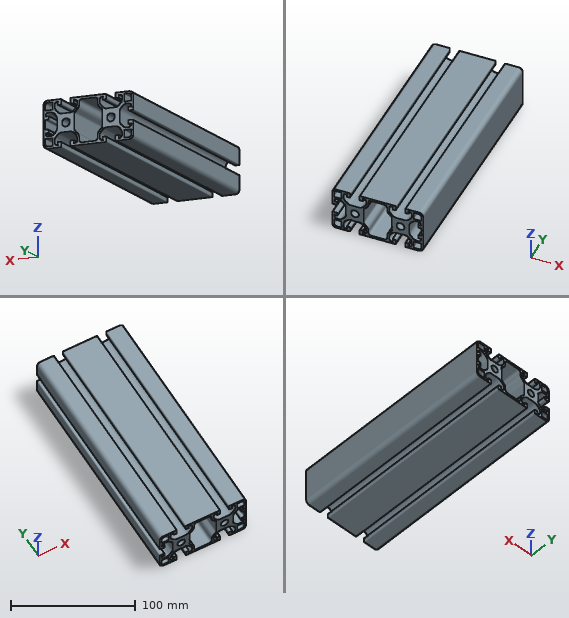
import cadquery as cq
import math

width = 80.0
length = 200.0
height = 40.0
corner_radius = 4.0

cell_half = height / 2
cell_center = width / 4

bore_diameter = 6.8

mouth_half = 4.0
lip_width = 3.0
lip_depth = 4.5
flange_thickness = 2.0
cavity_half = 10.0
core_half = 7.8
web_offset = 2.2
web_thickness = 1.8
lip_round = 1.0
undercut_round = 2.5
web_round = 5.0
cover_thickness = 1.5
cutter_overrun = 2.0

hollow_wall = 1.8
hollow_round = 0.5

chamber_core_half = 7.5
chamber_round = 2.5


def rounded_prism(corners):
    """Extrude a closed outline of (x, z, radius) corners along the full length."""
    tangents = []
    for index, (x, z, radius) in enumerate(corners):
        corner = cq.Vector(x, z)
        before = corners[index - 1]
        after = corners[(index + 1) % len(corners)]
        to_before = (cq.Vector(before[0], before[1]) - corner).normalized()
        to_after = (cq.Vector(after[0], after[1]) - corner).normalized()
        half_angle = to_before.getAngle(to_after) / 2
        reach = radius / math.tan(half_angle)
        bisector = (to_before + to_after).normalized()
        start = corner + to_before * reach
        middle = corner + bisector * (radius / math.sin(half_angle) - radius)
        end = corner + to_after * reach
        tangents.append((start, middle, end, radius))

    first = tangents[0][0]
    outline = cq.Workplane("XZ").moveTo(first.x, first.y)
    for index, (start, middle, end, radius) in enumerate(tangents):
        if index > 0:
            outline = outline.lineTo(start.x, start.y)
        if radius > 0:
            outline = outline.threePointArc((middle.x, middle.y), (end.x, end.y))
    return outline.close().extrude(length / 2, both=True)


def mirrored(half):
    """Complete an outline that is symmetric about x = 0."""
    return half + [(-x, z, radius) for x, z, radius in reversed(half)]


def groove(is_open):
    """T-groove void about a cell centre at the origin, with its mouth toward +Z."""
    if is_open:
        flare = mouth_half + cutter_overrun
        mouth = [
            (flare, cell_half + cutter_overrun, 0),
            (flare, cell_half, 0),
            (mouth_half, cell_half, lip_round),
        ]
    else:
        mouth = [(mouth_half, cell_half - cover_thickness, lip_round)]
    lip_tip = cell_half - lip_depth
    undercut = cell_half - flange_thickness
    cavity = [
        (mouth_half, lip_tip, lip_round),
        (mouth_half + lip_width, lip_tip, 0),
        (mouth_half + lip_width, undercut, 0),
        (cavity_half, undercut, undercut_round),
        (cavity_half, cavity_half + web_offset, web_round),
        (core_half - web_offset, core_half, web_round),
    ]
    return rounded_prism(mirrored(mouth + cavity))


def corner_hollow(side_x, side_z):
    """Square void in one outer corner of the bar."""
    inner = cavity_half + web_thickness
    outer = cell_half - hollow_wall
    near_x = side_x * (cell_center + inner)
    far_x = side_x * (cell_center + outer)
    near_z = side_z * inner
    far_z = side_z * outer
    return rounded_prism([
        (near_x, near_z, hollow_round),
        (far_x, near_z, hollow_round),
        (far_x, far_z, corner_radius - hollow_wall),
        (near_x, far_z, hollow_round),
    ])


def center_chamber():
    """Void between the cores, necked in by the 45 degree webs."""
    wide = cell_center - chamber_core_half
    narrow = cell_center - cavity_half - web_thickness
    ceiling = cell_half - flange_thickness
    web_start = chamber_core_half + web_offset - web_thickness * math.sqrt(2)
    web_end = web_start + wide - narrow
    upper_right = [
        (wide, web_start, chamber_round),
        (narrow, web_end, web_round),
        (narrow, ceiling, chamber_round),
    ]
    lower_right = [(x, -z, radius) for x, z, radius in reversed(upper_right)]
    return rounded_prism(mirrored(lower_right + upper_right))


result = cq.Workplane("XY").box(width, length, height).edges("|Y").fillet(corner_radius)

for x in (-cell_center, cell_center):
    for turn in (0, 180):
        top_groove = groove(is_open=True).rotate((0, 0, 0), (0, 1, 0), turn)
        result = result.cut(top_groove.translate((x, 0, 0)))

for side, is_open in ((-1, True), (1, False)):
    side_groove = groove(is_open).rotate((0, 0, 0), (0, 1, 0), side * 90)
    result = result.cut(side_groove.translate((side * cell_center, 0, 0)))

for side_x in (-1, 1):
    for side_z in (-1, 1):
        result = result.cut(corner_hollow(side_x, side_z))

result = result.cut(center_chamber())

bores = (
    cq.Workplane("XZ")
    .pushPoints([(-cell_center, 0), (cell_center, 0)])
    .circle(bore_diameter / 2)
    .extrude(length / 2, both=True)
)
result = result.cut(bores)